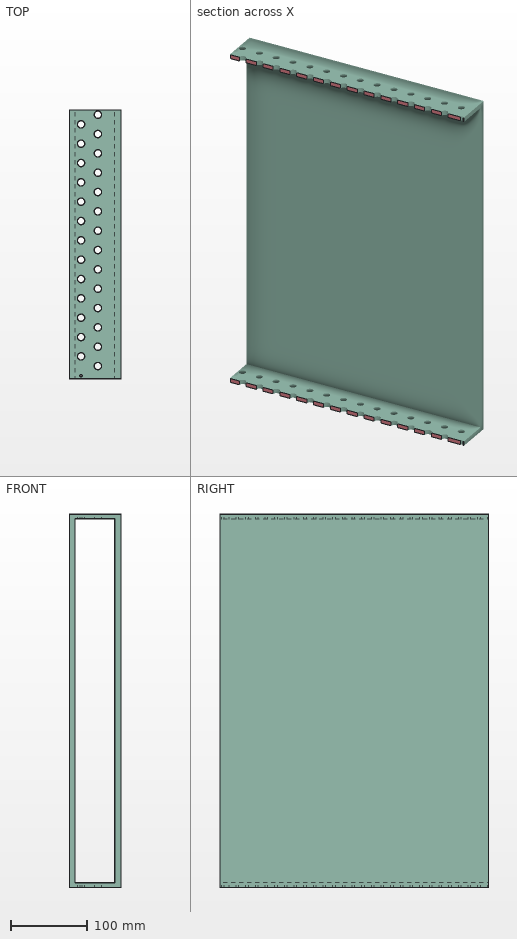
import cadquery as cq

width = 67.5
depth = 353.0
height = 490.0
left_wall = 7.5
right_wall = 8.5
top_and_bottom_wall = 6.5

hole_diameter = 9.5
pilot_diameter = 3.0
left_row_x = -18.5
row_spacing = 22.0
right_row_x = left_row_x + row_spacing
right_row_count = 14
left_row_count = 13

rear_margin = 6.5
front_margin = 16.5

hole_pitch = (depth - rear_margin - front_margin) / (right_row_count - 1)
right_row_start = depth / 2 - rear_margin
left_row_start = right_row_start - hole_pitch / 2


def make_tube():
    outer = cq.Workplane("XY").box(width, depth, height)
    bore_width = width - left_wall - right_wall
    bore_height = height - 2 * top_and_bottom_wall
    bore_centre_x = (left_wall - right_wall) / 2
    bore = cq.Workplane("XY").center(bore_centre_x, 0).box(bore_width, depth, bore_height)
    return outer.cut(bore)


def row_points(x, start_y, count):
    """Hole centres running from the rear end towards the front."""
    return [(x, start_y - i * hole_pitch) for i in range(count)]


def vertical_drills(points, diameter):
    """Full-height cylinders that pierce both the top and bottom walls."""
    base = cq.Workplane("XY").workplane(offset=-height / 2)
    return base.pushPoints(points).circle(diameter / 2).extrude(height)


right_row = row_points(right_row_x, right_row_start, right_row_count)
left_row = row_points(left_row_x, left_row_start, left_row_count)

pilot = [(left_row_x, left_row_start - left_row_count * hole_pitch)]

result = (
    make_tube()
    .cut(vertical_drills(right_row + left_row, hole_diameter))
    .cut(vertical_drills(pilot, pilot_diameter))
)